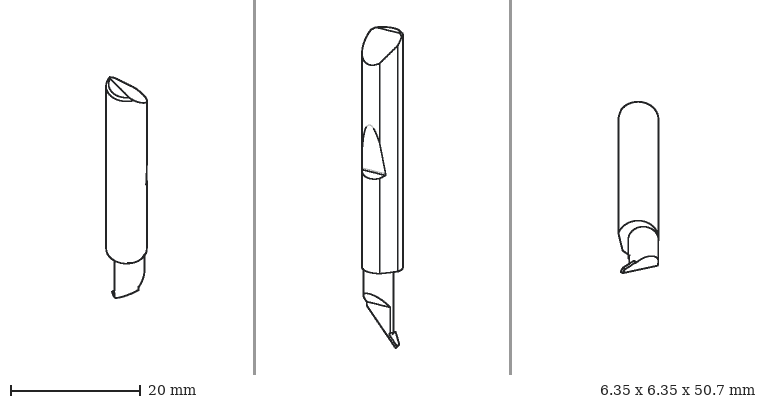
import cadquery as cq
import math

total_length = 50.65
shank_diameter = 6.35
shank_radius = shank_diameter / 2
shank_bottom = 12.55
top_chamfer = 0.4
flat_distance = 2.8
flat_direction = 149
bevel_front_y = -1.3

notch_top = 36.5
notch_root_top = 28.7
notch_root_bottom = 28.4
notch_bottom = 27.75
notch_root_y = 1.9

neck_radius = 2.35
neck_x = shank_radius - neck_radius
neck_y = -0.05
rake_face_y = neck_y
rake_runout_z = 6.4
heel_z = 5.75

prong_thickness = 0.45
prong_root_width = 1.65
prong_tip_width = 0.7
prong_length = 2.35
prong_tip_relief = 0.2
prong_root_fillet = 0.2
prong_tip_x = shank_radius - heel_z

margin = 1
reach = shank_radius + margin


def prism_along_x(points):
    """Extrude a (y, z) outline right through the part along X."""
    return cq.Workplane("YZ").polyline(points).close().extrude(reach, both=True)


def prism_along_y(points):
    """Extrude an (x, z) outline right through the part along Y."""
    return cq.Workplane("XZ").polyline(points).close().extrude(reach, both=True)


def make_shank():
    shank = (
        cq.Workplane("XY", origin=(0, 0, shank_bottom))
        .circle(shank_radius)
        .extrude(total_length - shank_bottom)
        .faces(">Z")
        .chamfer(top_chamfer)
    )
    flat_cutter = (
        cq.Workplane("XY")
        .box(reach, 2 * reach, total_length, centered=(False, True, False))
        .translate((flat_distance, 0, 0))
        .rotate((0, 0, 0), (0, 0, 1), flat_direction)
    )
    bevel_cutter = prism_along_x([
        (bevel_front_y, total_length),
        (reach, total_length - (reach - bevel_front_y)),
        (reach, total_length),
    ])
    notch_cutter = prism_along_x([
        (shank_radius, notch_top),
        (notch_root_y, notch_root_top),
        (notch_root_y, notch_root_bottom),
        (shank_radius, notch_bottom),
    ])
    return shank.cut(flat_cutter).cut(bevel_cutter).cut(notch_cutter)


def underside_workplane():
    """Plane of the underside: local x runs up the prong, local y is +Y, local z points into the part."""
    slope = math.sqrt(0.5)
    return cq.Workplane(cq.Plane(
        origin=(prong_tip_x, rake_face_y, 0),
        xDir=(slope, 0, slope),
        normal=(-slope, 0, slope),
    ))


def make_neck():
    neck = cq.Workplane("XY").center(neck_x, neck_y).circle(neck_radius).extrude(shank_bottom)
    rake_cutter = prism_along_x([
        (rake_face_y, 0),
        (rake_face_y, rake_runout_z),
        (reach, rake_runout_z + reach - rake_face_y),
        (reach, 0),
    ])
    underside_cutter = prism_along_y([
        (prong_tip_x, 0),
        (prong_tip_x + reach + shank_radius, reach + shank_radius),
        (prong_tip_x + reach + shank_radius, 0),
    ])
    inner_corner = underside_workplane().plane.toWorldCoords((prong_length, 0, prong_thickness))
    shoulder_cutter = (
        underside_workplane()
        .workplane(offset=prong_thickness)
        .box(prong_length, 2 * reach, margin, centered=(False, True, False))
        .edges(cq.selectors.NearestToPointSelector(inner_corner.toTuple()))
        .fillet(prong_root_fillet)
    )
    return neck.cut(rake_cutter).cut(underside_cutter).cut(shoulder_cutter)


def make_prong():
    return (
        underside_workplane()
        .polyline([
            (0, 0),
            (prong_length, 0),
            (prong_length, -prong_root_width),
            (prong_tip_relief, -prong_tip_width),
        ])
        .close()
        .extrude(prong_thickness)
    )


result = make_shank().union(make_neck()).union(make_prong())